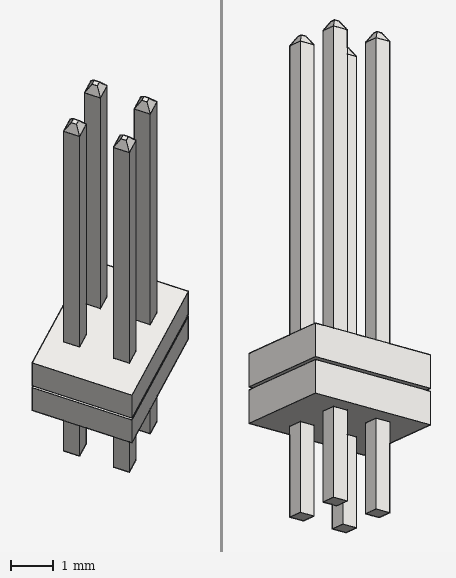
import cadquery as cq

PIN_LENGTH = 12.06
PIN_WIDTH = 0.41
PIN_PITCH = 1.27
TIP_HEIGHT = 0.23
TIP_WIDTH = 0.13

PLATE_WIDTH = 2.55
PLATE_DEPTH = 3.43
PLATE_HEIGHT = 0.85
PLATE_GAP = 0.07
TAIL_LENGTH = 2.28

SHAFT_LENGTH = PIN_LENGTH - TIP_HEIGHT
PLATE_BOTTOMS = [TAIL_LENGTH, TAIL_LENGTH + PLATE_HEIGHT + PLATE_GAP]

HALF_PITCH = PIN_PITCH / 2
TIE_PIN_PLACE = (-HALF_PITCH, -HALF_PITCH)
LOOSE_PIN_PLACES = [
    (HALF_PITCH, -HALF_PITCH),
    (-HALF_PITCH, HALF_PITCH),
    (HALF_PITCH, HALF_PITCH),
]


def make_pin(x, y):
    """Square shaft with a tapered, flat-ended tip."""
    shaft = cq.Workplane("XY", origin=(x, y, 0)).rect(PIN_WIDTH, PIN_WIDTH).extrude(SHAFT_LENGTH)
    tip = (
        cq.Workplane("XY", origin=(x, y, SHAFT_LENGTH))
        .rect(PIN_WIDTH, PIN_WIDTH)
        .workplane(offset=TIP_HEIGHT)
        .rect(TIP_WIDTH, TIP_WIDTH)
        .loft(ruled=True)
    )
    return shaft.union(tip)


def make_plate(bottom):
    """Rectangular plate with square through holes for the loose pins."""
    plate = cq.Workplane("XY", origin=(0, 0, bottom)).rect(PLATE_WIDTH, PLATE_DEPTH).extrude(PLATE_HEIGHT)
    holes = (
        cq.Workplane("XY", origin=(0, 0, bottom))
        .pushPoints(LOOSE_PIN_PLACES)
        .rect(PIN_WIDTH, PIN_WIDTH)
        .extrude(PLATE_HEIGHT)
    )
    return plate.cut(holes)


housing = make_pin(*TIE_PIN_PLACE)
for plate_bottom in PLATE_BOTTOMS:
    housing = housing.union(make_plate(plate_bottom))

loose_pins = [make_pin(x, y) for x, y in LOOSE_PIN_PLACES]

result = cq.Compound.makeCompound([housing.val(), *[pin.val() for pin in loose_pins]])